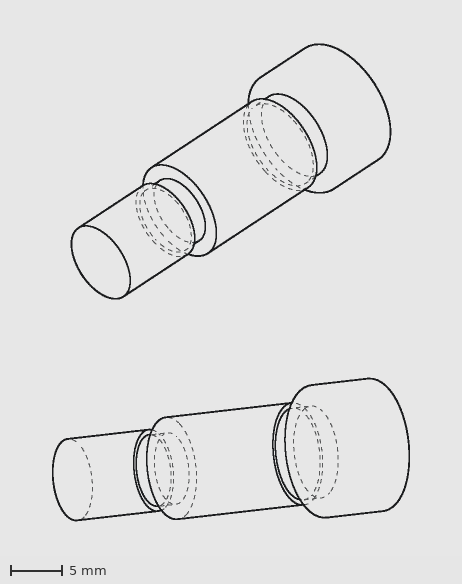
import cadquery as cq

head_diameter = 13.0
shoulder_diameter = 10.0
thread_diameter = 8.0
relief_depth = 0.5

head_length = 7.0
shoulder_length = 16.0
thread_length = 11.0
relief_width = 2.0

head_edge_radius = 0.4

underhead_y = 0.0
shoulder_end_y = underhead_y - shoulder_length
thread_end_y = shoulder_end_y - thread_length


def cylinder_along_y(diameter, start_y, end_y):
    """Solid cylinder on the Y axis between two Y positions."""
    plane = cq.Plane(origin=(0, start_y, 0), xDir=(1, 0, 0), normal=(0, 1, 0))
    return cq.Workplane(plane).circle(diameter / 2).extrude(end_y - start_y)


def make_head():
    """Cylindrical head with both rims rounded."""
    head = cylinder_along_y(head_diameter, underhead_y, underhead_y + head_length)
    return head.faces("<Y or >Y").edges().fillet(head_edge_radius)


def make_relieved_section(diameter, start_y, end_y):
    """Shank section ending at start_y, with a relief groove at its head-side end."""
    groove_start_y = end_y - relief_width
    body = cylinder_along_y(diameter, start_y, groove_start_y)
    groove_core = cylinder_along_y(diameter - 2 * relief_depth, groove_start_y, end_y)
    return body.union(groove_core)


head = make_head()
shoulder = make_relieved_section(shoulder_diameter, shoulder_end_y, underhead_y)
thread = make_relieved_section(thread_diameter, thread_end_y, shoulder_end_y)

result = head.union(shoulder).union(thread)